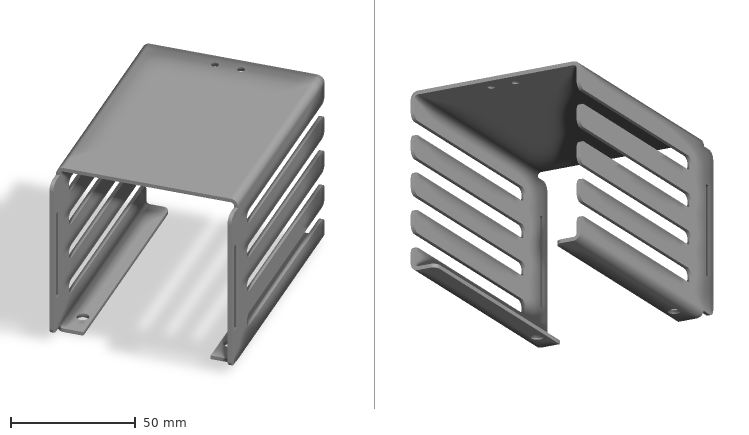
import cadquery as cq

WIDTH = 77.5
LENGTH = 111.0
HEIGHT = 76.6
SHEET = 1.7
BEND_RADIUS = 3.2
LIP_WIDTH = 11.7
LIP_CORNER_RADIUS = 3.0

TAB_LENGTH = 7.9
TAB_TOP_GAP = 3.7
TAB_BOTTOM_GAP = 2.7
TAB_TOP_RADIUS = 3.5
TAB_BOTTOM_RADIUS = 2.8

SLOT_COUNT = 4
SLOT_WIDTH = 6.0
SLOT_PITCH = 16.0
SLOT_LENGTH = 92.6
SLOT_MOUTH_RADIUS = 3.0
SIDE_CENTER_Z = -0.5

WINDOW_WIDTH = 2.0
WINDOW_HEIGHT = 39.0
WINDOW_FROM_FRONT = 4.9

ROOF_HOLE_DIAMETER = 3.1
ROOF_HOLE_SPACING = 11.1
ROOF_HOLE_FROM_BACK = 6.7

LIP_HOLE_DIAMETER = 5.1
LIP_HOLE_FROM_FRONT = 11.2
LIP_HOLE_FROM_EDGE = 4.2

BACK_Y = LENGTH / 2
FRONT_Y = -LENGTH / 2
BODY_FRONT_Y = FRONT_Y + TAB_LENGTH
TOP_Z = HEIGHT / 2
BOTTOM_Z = -HEIGHT / 2


def make_channel():
    """Roof, side walls and inward lips, bent from one sheet."""
    body_length = LENGTH - TAB_LENGTH
    body_center_y = (BACK_Y + BODY_FRONT_Y) / 2
    outer = cq.Workplane("XY").box(WIDTH, body_length, HEIGHT).edges("|Y").fillet(BEND_RADIUS)
    inner = (
        cq.Workplane("XY")
        .box(WIDTH - 2 * SHEET, body_length, HEIGHT - 2 * SHEET)
        .edges("|Y")
        .fillet(BEND_RADIUS - SHEET)
    )
    floor_gap = (
        cq.Workplane("XY")
        .box(WIDTH - 2 * LIP_WIDTH, body_length, HEIGHT / 2)
        .translate((0, 0, BOTTOM_Z))
    )
    channel = outer.cut(inner).cut(floor_gap)
    channel = channel.faces(">Y").edges("|Z").edges("<Z").fillet(LIP_CORNER_RADIUS)
    return channel.translate((0, body_center_y, 0))


def make_tab():
    """Front extension of one side wall, centered on the origin."""
    height = HEIGHT - TAB_TOP_GAP - TAB_BOTTOM_GAP
    return (
        cq.Workplane("XY")
        .box(SHEET, TAB_LENGTH, height)
        .edges("|X and <Y and >Z")
        .fillet(TAB_TOP_RADIUS)
        .edges("|X and <Y and <Z")
        .fillet(TAB_BOTTOM_RADIUS)
    )


def make_slot_cutter(center_z):
    """Round-ended slot through both side walls, with a rounded mouth at the back."""
    half = SLOT_WIDTH / 2
    mouth = half + SLOT_MOUTH_RADIUS
    end_y = BACK_Y - SLOT_LENGTH
    shoulder_y = BACK_Y - SLOT_MOUTH_RADIUS
    return (
        cq.Workplane("YZ")
        .center(0, center_z)
        .moveTo(BACK_Y, mouth)
        .radiusArc((shoulder_y, half), SLOT_MOUTH_RADIUS)
        .lineTo(end_y + half, half)
        .threePointArc((end_y, 0), (end_y + half, -half))
        .lineTo(shoulder_y, -half)
        .radiusArc((BACK_Y, -mouth), SLOT_MOUTH_RADIUS)
        .close()
        .extrude(WIDTH / 2, both=True)
    )


def make_window_cutter():
    """Upright rectangular window through both side walls."""
    return (
        cq.Workplane("XY")
        .box(WIDTH, WINDOW_WIDTH, WINDOW_HEIGHT)
        .translate((0, FRONT_Y + WINDOW_FROM_FRONT, SIDE_CENTER_Z))
    )


def make_hole_pair(diameter, spacing, y, sheet_bottom_z):
    """Two vertical holes, mirrored about the mid-plane, through one sheet thickness."""
    return (
        cq.Workplane("XY", origin=(0, y, sheet_bottom_z))
        .pushPoints([(-spacing / 2, 0), (spacing / 2, 0)])
        .circle(diameter / 2)
        .extrude(SHEET)
    )


result = make_channel()

tab_center_z = (TAB_BOTTOM_GAP - TAB_TOP_GAP) / 2
for side in (-1, 1):
    tab_center = (side * (WIDTH - SHEET) / 2, FRONT_Y + TAB_LENGTH / 2, tab_center_z)
    result = result.union(make_tab().translate(tab_center))

for index in range(SLOT_COUNT):
    slot_z = SIDE_CENTER_Z + (index - (SLOT_COUNT - 1) / 2) * SLOT_PITCH
    result = result.cut(make_slot_cutter(slot_z))

result = result.cut(make_window_cutter())

roof_hole_y = BACK_Y - ROOF_HOLE_FROM_BACK
result = result.cut(make_hole_pair(ROOF_HOLE_DIAMETER, ROOF_HOLE_SPACING, roof_hole_y, TOP_Z - SHEET))

lip_hole_spacing = WIDTH - 2 * (LIP_WIDTH - LIP_HOLE_FROM_EDGE)
lip_hole_y = BODY_FRONT_Y + LIP_HOLE_FROM_FRONT
result = result.cut(make_hole_pair(LIP_HOLE_DIAMETER, lip_hole_spacing, lip_hole_y, BOTTOM_Z))